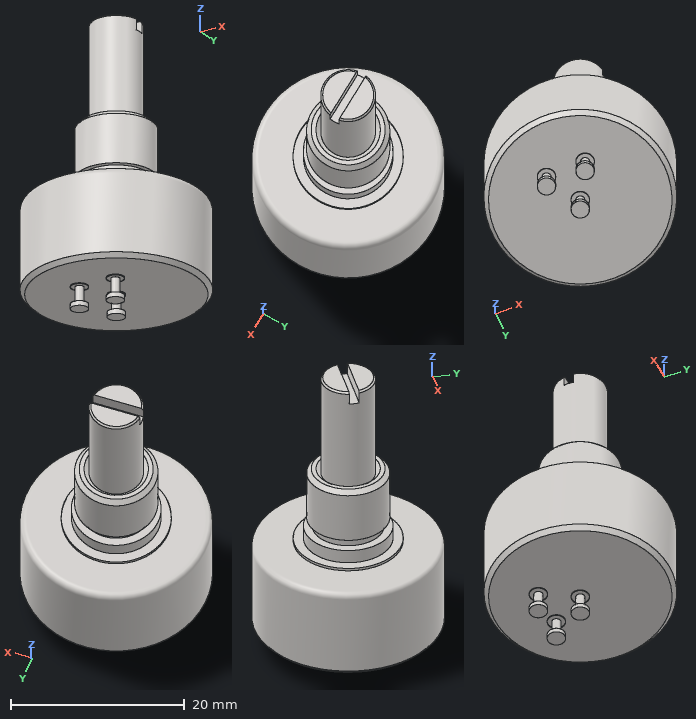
import cadquery as cq

TOTAL_HEIGHT = 36.7

BODY_DIAMETER = 22.25
BODY_BOTTOM = 2.83
BODY_HEIGHT = 11.25
BODY_TOP_FILLET = 0.8
BODY_BOTTOM_CHAMFER = 0.55

FLANGE_DIAMETER = 12.7
FLANGE_HEIGHT = 0.33
COLLAR_DIAMETER = 10.35
COLLAR_HEIGHT = 1.7
NECK_DIAMETER = 8.33
NECK_HEIGHT = 1.17
BUSHING_DIAMETER = 9.6
BUSHING_HEIGHT = 6.75
BUSHING_CHAMFER = 0.55

SHAFT_DIAMETER = 6.3
SHAFT_CHAMFER = 0.22
SLOT_WIDTH = 1.17
SLOT_DEPTH = 1.58
COUNTERSINK_SIZE = 0.55

PIN_DIAMETER = 1.05
PIN_HEAD_DIAMETER = 2.13
PIN_HEAD_HEIGHT = 0.6
PIN_BASE_HEIGHT = 0.1
PIN_SPACING_X = 2.42
PIN_ROW_Y = -PIN_SPACING_X * 3**0.5
PIN_POSITIONS = [(0, 0), (-PIN_SPACING_X, PIN_ROW_Y), (PIN_SPACING_X, PIN_ROW_Y)]

BODY_TOP = BODY_BOTTOM + BODY_HEIGHT
COLLAR_BOTTOM = BODY_TOP + FLANGE_HEIGHT
NECK_BOTTOM = COLLAR_BOTTOM + COLLAR_HEIGHT
BUSHING_BOTTOM = NECK_BOTTOM + NECK_HEIGHT
BUSHING_TOP = BUSHING_BOTTOM + BUSHING_HEIGHT


def cylinder(diameter, bottom, height, center=(0, 0)):
    """Upright cylinder starting at the given level."""
    return cq.Workplane("XY", origin=(*center, bottom)).circle(diameter / 2).extrude(height)


def make_body():
    body = cylinder(BODY_DIAMETER, BODY_BOTTOM, BODY_HEIGHT)
    body = body.faces(">Z").edges().fillet(BODY_TOP_FILLET)
    return body.faces("<Z").edges().chamfer(BODY_BOTTOM_CHAMFER)


def make_bushing():
    flange = cylinder(FLANGE_DIAMETER, BODY_TOP, FLANGE_HEIGHT)
    collar = cylinder(COLLAR_DIAMETER, COLLAR_BOTTOM, COLLAR_HEIGHT)
    neck = cylinder(NECK_DIAMETER, NECK_BOTTOM, NECK_HEIGHT)
    sleeve = cylinder(BUSHING_DIAMETER, BUSHING_BOTTOM, BUSHING_HEIGHT)
    sleeve = sleeve.faces(">Z").edges().chamfer(BUSHING_CHAMFER)
    mouth = (
        cq.Workplane("XY", origin=(0, 0, BUSHING_TOP - COUNTERSINK_SIZE))
        .circle(SHAFT_DIAMETER / 2)
        .workplane(offset=COUNTERSINK_SIZE)
        .circle(SHAFT_DIAMETER / 2 + COUNTERSINK_SIZE)
        .loft(ruled=True)
    )
    return flange.union(collar).union(neck).union(sleeve.cut(mouth))


def make_shaft():
    shaft = cylinder(SHAFT_DIAMETER, BODY_TOP, TOTAL_HEIGHT - BODY_TOP)
    shaft = shaft.faces(">Z").edges().chamfer(SHAFT_CHAMFER)
    slot = cq.Workplane("XY", origin=(0, 0, TOTAL_HEIGHT - SLOT_DEPTH))
    slot = slot.rect(SHAFT_DIAMETER * 2, SLOT_WIDTH).extrude(SLOT_DEPTH)
    return shaft.cut(slot)


def make_terminal(position):
    pin = cylinder(PIN_DIAMETER, 0, BODY_BOTTOM, position)
    head = cylinder(PIN_HEAD_DIAMETER, 0, PIN_HEAD_HEIGHT, position)
    base = cylinder(PIN_HEAD_DIAMETER, BODY_BOTTOM - PIN_BASE_HEIGHT, PIN_BASE_HEIGHT, position)
    return pin.union(head).union(base)


result = make_body().union(make_bushing()).union(make_shaft())
for pin_position in PIN_POSITIONS:
    result = result.union(make_terminal(pin_position))